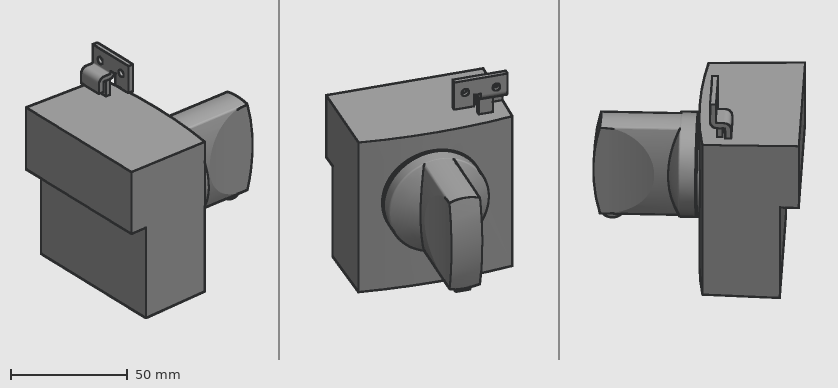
import cadquery as cq
import math

HOUSING_WIDTH = 71.0
HOUSING_TOP = 75.6
STEP_DEPTH = 8.1
STEP_HEIGHT = 44.9
SIDE_DEPTH = 41.3
BOWED_DEPTH = 43.8
DRAFT_ANGLE = 1.0
DRAFT = math.tan(math.radians(DRAFT_ANGLE))

KNOB_X = 2.0
KNOB_Z = 43.7
KNOB_RADIUS = 22.6
DISC_FRONT = 44.3
DISC_ROOT = 37.8
SKIRT_BACK = 45.0
DOME_FRONT = 58.2
DOME_RADIUS = 44.4
SKIRT_ROUND = 0.9
GRIP_TIP = 89.2
GRIP_ROOT = 47.3
GRIP_RADIUS = 22.5
GRIP_SHOULDER = 86.0
GRIP_END_HALF_WIDTH = 6.9
GRIP_MID_HALF_WIDTH = 10.1
GRIP_EDGE_ROUND = 1.1
FLANK_RADIUS = 85.1
POINTER_RADIUS = 5.0
POINTER_REACH = 3.0
POINTER_Y = 81.3
POINTER_THICKNESS = 5.7

SHEET = 2.55
BRACKET_LEFT = -33.65
BRACKET_TOP = 94.5
BRACKET_FRONT = 38.1
BRACKET_WIDTH = 24.1
TAB_HEIGHT = 13.4
FOOT_WIDTH = 12.0
SLOT_WIDTH = 3.1
SLOT_TOP_DROP = 7.8
FOOT_DEPTH = 9.1
FOOT_SHELF_DROP = 9.3
FOOT_BOTTOM_DROP = 16.8
BEND_INNER_RADIUS = 0.6
BEND_OUTER_RADIUS = BEND_INNER_RADIUS + SHEET
HOLE_DIAMETER = 3.3
HOLE_DROP = 5.9
FIRST_HOLE_OFFSET = 5.0
HOLE_PITCH = 14.1

TONGUE_WIDTH = 6.3
TONGUE_THICKNESS = 2.4
TONGUE_BACK = 33.0
TONGUE_ROOT = 70.9
TONGUE_CORNER = 1.1


def along_y(x, y, z):
    """Sketch plane at depth y that extrudes towards +Y; its second axis points along -Z."""
    return cq.Workplane(cq.Plane((x, y, z), xDir=(1, 0, 0), normal=(0, 1, 0)))


def cylinder_y(y_start, y_end):
    """Cylinder of the knob radius on the knob axis."""
    return along_y(KNOB_X, y_start, KNOB_Z).circle(KNOB_RADIUS).extrude(y_end - y_start)


def make_tongue():
    shelf_underside = BRACKET_TOP - FOOT_SHELF_DROP - SHEET
    height = shelf_underside - TONGUE_ROOT
    right = BRACKET_LEFT + FOOT_WIDTH
    tongue = cq.Workplane("XY").box(TONGUE_WIDTH, TONGUE_THICKNESS, height, centered=False)
    tongue = tongue.edges("<X and >Z").fillet(TONGUE_CORNER)
    return tongue.translate((right - TONGUE_WIDTH, TONGUE_BACK, TONGUE_ROOT))


def make_housing():
    back_half = HOUSING_WIDTH / 2
    front_half = back_half - SIDE_DEPTH * DRAFT
    plan = (
        cq.Workplane("XY")
        .moveTo(-back_half, 0)
        .lineTo(back_half, 0)
        .lineTo(front_half, SIDE_DEPTH)
        .threePointArc((0, BOWED_DEPTH), (-front_half, SIDE_DEPTH))
        .close()
        .extrude(HOUSING_TOP)
    )
    profile = (
        cq.Workplane("YZ")
        .polyline([
            (0, STEP_HEIGHT),
            (STEP_DEPTH, STEP_HEIGHT),
            (STEP_DEPTH, 0),
            (BOWED_DEPTH, (BOWED_DEPTH - STEP_DEPTH) * DRAFT),
            (BOWED_DEPTH, HOUSING_TOP - BOWED_DEPTH * DRAFT),
            (0, HOUSING_TOP),
        ])
        .close()
        .extrude(back_half, both=True)
    )
    disc = cylinder_y(DISC_ROOT, DISC_FRONT)
    return plan.intersect(profile).union(disc).union(make_tongue())


def make_skirt():
    """Round base of the knob with a domed front."""
    dome = cq.Workplane("XY").sphere(DOME_RADIUS).translate(
        (KNOB_X, DOME_FRONT - DOME_RADIUS, KNOB_Z))
    skirt = cylinder_y(SKIRT_BACK, DOME_FRONT).intersect(dome)
    return skirt.edges(">Y").fillet(SKIRT_ROUND)


def make_grip():
    """Barrel-shaped handle with an arched tip and hollow flanks."""
    end_z = math.sqrt(GRIP_RADIUS**2 - GRIP_END_HALF_WIDTH**2)
    grip = (
        along_y(KNOB_X, GRIP_ROOT, KNOB_Z)
        .moveTo(-GRIP_END_HALF_WIDTH, -end_z)
        .threePointArc((0, -GRIP_RADIUS), (GRIP_END_HALF_WIDTH, -end_z))
        .threePointArc((GRIP_MID_HALF_WIDTH, 0), (GRIP_END_HALF_WIDTH, end_z))
        .threePointArc((0, GRIP_RADIUS), (-GRIP_END_HALF_WIDTH, end_z))
        .threePointArc((-GRIP_MID_HALF_WIDTH, 0), (-GRIP_END_HALF_WIDTH, -end_z))
        .close()
        .extrude(GRIP_TIP - GRIP_ROOT)
        .edges("|Y")
        .fillet(GRIP_EDGE_ROUND)
    )
    tip_rise = GRIP_TIP - GRIP_SHOULDER
    tip_radius = (GRIP_RADIUS**2 + tip_rise**2) / (2 * tip_rise)
    tip_arch = (
        cq.Workplane("YZ", origin=(KNOB_X, GRIP_TIP - tip_radius, KNOB_Z))
        .circle(tip_radius)
        .extrude(GRIP_RADIUS, both=True)
    )
    grip = grip.intersect(tip_arch)
    for side in (-1, 1):
        hollow_x = KNOB_X + side * (GRIP_END_HALF_WIDTH + FLANK_RADIUS)
        hollow = (
            cq.Workplane("XY", origin=(hollow_x, GRIP_SHOULDER, KNOB_Z))
            .circle(FLANK_RADIUS)
            .extrude(2 * GRIP_RADIUS, both=True)
        )
        grip = grip.cut(hollow)
    return grip


def make_pointer():
    """Rounded pointer nub below the grip tip."""
    axis_z = KNOB_Z - GRIP_RADIUS - POINTER_REACH + POINTER_RADIUS
    return (
        cq.Workplane("YZ", origin=(KNOB_X, POINTER_Y, axis_z))
        .circle(POINTER_RADIUS)
        .extrude(POINTER_THICKNESS / 2, both=True)
    )


def make_knob():
    return make_skirt().union(make_grip()).union(make_pointer())


def make_bracket():
    plate_back = BRACKET_FRONT - SHEET
    foot_back = BRACKET_FRONT - FOOT_DEPTH
    shelf_top = BRACKET_TOP - FOOT_SHELF_DROP
    shelf_underside = shelf_top - SHEET
    foot = (
        cq.Workplane("YZ", origin=(BRACKET_LEFT, 0, 0))
        .moveTo(BRACKET_FRONT, BRACKET_TOP)
        .lineTo(BRACKET_FRONT, shelf_underside + BEND_OUTER_RADIUS)
        .radiusArc((BRACKET_FRONT - BEND_OUTER_RADIUS, shelf_underside), BEND_OUTER_RADIUS)
        .lineTo(foot_back + BEND_OUTER_RADIUS, shelf_underside)
        .radiusArc((foot_back + SHEET, shelf_underside - BEND_INNER_RADIUS), -BEND_INNER_RADIUS)
        .lineTo(foot_back + SHEET, BRACKET_TOP - FOOT_BOTTOM_DROP)
        .lineTo(foot_back, BRACKET_TOP - FOOT_BOTTOM_DROP)
        .lineTo(foot_back, shelf_top - BEND_OUTER_RADIUS)
        .radiusArc((foot_back + BEND_OUTER_RADIUS, shelf_top), BEND_OUTER_RADIUS)
        .lineTo(plate_back - BEND_INNER_RADIUS, shelf_top)
        .radiusArc((plate_back, shelf_top + BEND_INNER_RADIUS), -BEND_INNER_RADIUS)
        .lineTo(plate_back, BRACKET_TOP)
        .close()
        .extrude(FOOT_WIDTH)
    )
    bridge = cq.Workplane("XY").box(
        BRACKET_WIDTH - FOOT_WIDTH, SHEET, SLOT_TOP_DROP, centered=False
    ).translate((BRACKET_LEFT + FOOT_WIDTH, plate_back, BRACKET_TOP - SLOT_TOP_DROP))
    tab_left = FOOT_WIDTH + SLOT_WIDTH
    tab = cq.Workplane("XY").box(
        BRACKET_WIDTH - tab_left, SHEET, TAB_HEIGHT, centered=False
    ).translate((BRACKET_LEFT + tab_left, plate_back, BRACKET_TOP - TAB_HEIGHT))
    bracket = foot.union(bridge).union(tab)
    for index in range(2):
        hole_x = BRACKET_LEFT + FIRST_HOLE_OFFSET + index * HOLE_PITCH
        hole = (
            along_y(hole_x, plate_back, BRACKET_TOP - HOLE_DROP)
            .circle(HOLE_DIAMETER / 2)
            .extrude(SHEET)
        )
        bracket = bracket.cut(hole)
    return bracket


housing = make_housing()
knob = make_knob()
bracket = make_bracket()

result = cq.Compound.makeCompound([housing.val(), knob.val(), bracket.val()])